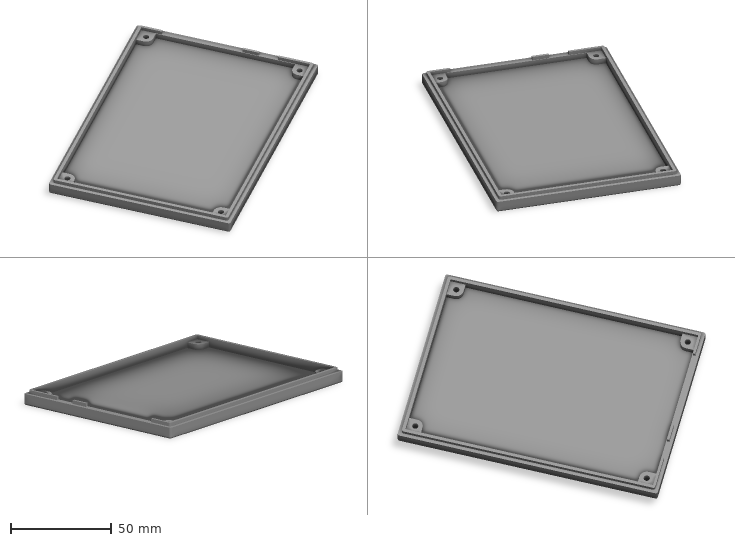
import cadquery as cq

width = 95.7
length = 133.8
height = 7.8
outer_edge_radius = 1.1
floor_thickness = 3.0

lip_height = 1.9
lip_inset = 1.7
lip_corner_radius = 1.1
shoulder_z = height - lip_height

wall_thickness = 3.3
ledge_width = 0.33

hole_diameter = 3.1
hole_inset = 7.4
boss_radius = 3.7
boss_reach = hole_inset + boss_radius

notch_spans = [(-33.7, 8.7), (17.4, 27.5)]


def block(x_min, x_max, y_min, y_max, bottom, top):
    """Upright box between the given limits."""
    corner = (x_min, y_min, bottom)
    return cq.Workplane("XY").box(x_max - x_min, y_max - y_min, top - bottom, centered=False).translate(corner)


def inset_block(inset, bottom, top):
    """Upright box whose sides lie a given inset inside the tray outline."""
    x_limit = width / 2 - inset
    y_limit = length / 2 - inset
    return block(-x_limit, x_limit, -y_limit, y_limit, bottom, top)


def make_shell():
    """Solid tray body with its rounded outer edges and the smaller lip block on top."""
    body = inset_block(0, 0, shoulder_z).edges("|Z or <Z").fillet(outer_edge_radius)
    lip = inset_block(lip_inset, floor_thickness, height).edges("|Z").fillet(lip_corner_radius)
    return body.union(lip)


def make_cavity():
    """Space inside the walls, widened at the +Y side above the ledge."""
    cavity = inset_block(wall_thickness, floor_thickness, height)
    x_limit = width / 2 - wall_thickness
    y_limit = length / 2 - wall_thickness + ledge_width
    return cavity.union(block(-x_limit, x_limit, 0, y_limit, shoulder_z, height))


def make_boss():
    """Boss for the +X +Y corner: a square block rounded on its free corner."""
    x_side = width / 2
    y_side = length / 2
    square = block(
        x_side - boss_reach, x_side - lip_inset,
        y_side - boss_reach, y_side - lip_inset,
        floor_thickness, shoulder_z,
    )
    return square.edges("|Z and <X and <Y").fillet(boss_radius)


def make_holes():
    """Screw hole cutters, running the full height at the four bosses."""
    return (
        cq.Workplane("XY")
        .rect(width - 2 * hole_inset, length - 2 * hole_inset, forConstruction=True)
        .vertices()
        .circle(hole_diameter / 2)
        .extrude(height)
    )


result = make_shell().cut(make_cavity())

right_boss = make_boss()
rear_bosses = right_boss.union(right_boss.mirror("YZ"))
result = result.union(rear_bosses).union(rear_bosses.mirror("XZ"))

result = result.cut(make_holes())

rear = length / 2
for left, right in notch_spans:
    result = result.cut(block(left, right, rear - wall_thickness, rear, shoulder_z, height))